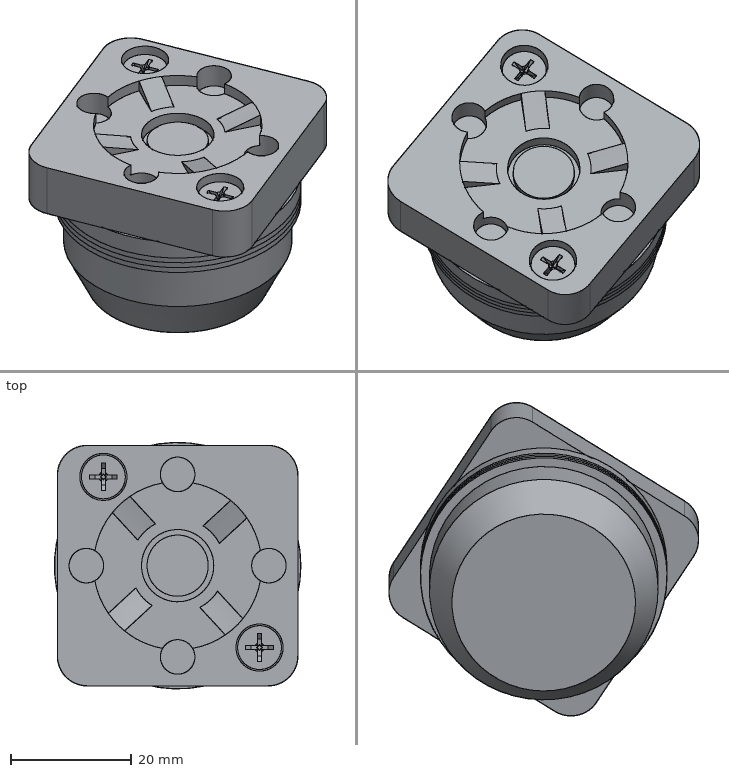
import cadquery as cq
import math

CONE_HEIGHT = 8.05
BARREL_HEIGHT = 8.05
RING_THICKNESS = 1.0
RING_COUNT = 3
COLLAR_HEIGHT = 3.25
HOUSING_HEIGHT = 9.4

CUP_HEIGHT = CONE_HEIGHT + BARREL_HEIGHT
COLLAR_BASE = CUP_HEIGHT + RING_COUNT * RING_THICKNESS
HOUSING_BASE = COLLAR_BASE + COLLAR_HEIGHT
HOUSING_TOP = HOUSING_BASE + HOUSING_HEIGHT

COLLAR_DIAMETER = 41.0
BARREL_DIAMETER = 38.0
CUP_FOOT_DIAMETER = 30.5

HOUSING_SIDE = 40.0
CORNER_RADIUS = 5.0
RECESS_DIAMETER = 27.95
RECESS_DEPTH = 2.0
WELL_DIAMETER = 12.0
WELL_DEPTH = 4.15
SIDE_HOLE_COUNT = 4
SIDE_HOLE_DIAMETER = 5.75
SIDE_HOLE_DEPTH = WELL_DEPTH
SIDE_HOLE_OFFSET = 15.15

RECESS_FLOOR = HOUSING_TOP - RECESS_DEPTH
WELL_FLOOR = HOUSING_TOP - WELL_DEPTH

RAMP_COUNT = 4
RAMP_WIDTH = 3.98
RAMP_INNER_RADIUS = 7.87
RAMP_START_ANGLE = 42.7

BUTTON_DIAMETER = 10.15
BUTTON_HEIGHT = 1.0

SCREW_CENTERS = [(-12.35, 14.75), (13.6, -13.6)]
SCREW_HEAD_DIAMETER = 7.3
SCREW_HEAD_HEIGHT = 2.0
SCREW_SINK = 1.5
SCREW_POCKET_DIAMETER = 7.85

DRIVE_LENGTH = 4.6
DRIVE_WIDTH = 0.65
DRIVE_KNEE_RADIUS = 1.4
DRIVE_KNEE_DEPTH = 1.0
DRIVE_CENTER_DEPTH = 1.3
DRIVE_CORE_TOP_SIDE = 1.5
DRIVE_CORE_BOTTOM_SIDE = 0.6
DRIVE_CORE_ANGLE = 45


def cylinder(diameter, height, base, center=(0, 0)):
    """Upright cylinder standing on the height `base`."""
    return cq.Workplane("XY", origin=(*center, base)).circle(diameter / 2).extrude(height)


def cut_down(diameter, depth, center=(0, 0)):
    """Cutter for a round pocket sunk from the housing top."""
    return cylinder(diameter, depth, HOUSING_TOP - depth, center)


def make_cup():
    """Tapered foot below a straight barrel."""
    profile = [
        (0, 0),
        (CUP_FOOT_DIAMETER / 2, 0),
        (BARREL_DIAMETER / 2, CONE_HEIGHT),
        (BARREL_DIAMETER / 2, CUP_HEIGHT),
        (0, CUP_HEIGHT),
    ]
    return cq.Workplane("XZ").polyline(profile).close().revolve(360, (0, 0), (0, 1))


def make_ring(index):
    """One of the thin discs stacked between the cup and the collar."""
    return cylinder(COLLAR_DIAMETER, RING_THICKNESS, CUP_HEIGHT + index * RING_THICKNESS)


def make_collar():
    return cylinder(COLLAR_DIAMETER, COLLAR_HEIGHT, COLLAR_BASE)


def make_ramps():
    """Radial ribs whose tops lie on one cone that meets the recess floor and rim."""
    rim_radius = RECESS_DIAMETER / 2
    cone_section = [
        (RAMP_INNER_RADIUS, RECESS_FLOOR),
        (rim_radius, RECESS_FLOOR),
        (rim_radius, HOUSING_TOP),
    ]
    cone_ring = cq.Workplane("XZ").polyline(cone_section).close().revolve(360, (0, 0), (0, 1))
    bars = cq.Workplane("XY")
    for index in range(RAMP_COUNT):
        bar = (
            cq.Workplane("XY", origin=(0, 0, RECESS_FLOOR))
            .rect(rim_radius, RAMP_WIDTH)
            .extrude(RECESS_DEPTH)
            .translate((rim_radius / 2, 0, 0))
            .rotate((0, 0, 0), (0, 0, 1), RAMP_START_ANGLE + index * 360 / RAMP_COUNT)
        )
        bars = bars.add(bar)
    return bars.combine().intersect(cone_ring)


def make_housing():
    """Rounded square block with ramped recess, central well, side holes and screw pockets."""
    housing = (
        cq.Workplane("XY", origin=(0, 0, HOUSING_BASE))
        .rect(HOUSING_SIDE, HOUSING_SIDE)
        .extrude(HOUSING_HEIGHT)
        .edges("|Z")
        .fillet(CORNER_RADIUS)
    )
    recess = cut_down(RECESS_DIAMETER, RECESS_DEPTH).cut(make_ramps())
    housing = housing.cut(recess).cut(cut_down(WELL_DIAMETER, WELL_DEPTH))
    for index in range(SIDE_HOLE_COUNT):
        angle = math.radians(index * 360 / SIDE_HOLE_COUNT)
        center = (SIDE_HOLE_OFFSET * math.cos(angle), SIDE_HOLE_OFFSET * math.sin(angle))
        housing = housing.cut(cut_down(SIDE_HOLE_DIAMETER, SIDE_HOLE_DEPTH, center))
    for center in SCREW_CENTERS:
        housing = housing.cut(cut_down(SCREW_POCKET_DIAMETER, SCREW_SINK + SCREW_HEAD_HEIGHT, center))
    return housing


def make_button():
    return cylinder(BUTTON_DIAMETER, BUTTON_HEIGHT, WELL_FLOOR)


def make_screw(center):
    """Screw head with a cross drive whose arms deepen toward a tapered square core."""
    head_top = HOUSING_TOP - SCREW_SINK
    head = cylinder(SCREW_HEAD_DIAMETER, SCREW_HEAD_HEIGHT, head_top - SCREW_HEAD_HEIGHT, center)
    arm_profile = [
        (-DRIVE_LENGTH / 2, 0),
        (-DRIVE_KNEE_RADIUS, -DRIVE_KNEE_DEPTH),
        (0, -DRIVE_CENTER_DEPTH),
        (DRIVE_KNEE_RADIUS, -DRIVE_KNEE_DEPTH),
        (DRIVE_LENGTH / 2, 0),
    ]
    for plane in ("XZ", "YZ"):
        slot = (
            cq.Workplane(plane, origin=(*center, head_top))
            .polyline(arm_profile)
            .close()
            .extrude(DRIVE_WIDTH / 2, both=True)
        )
        head = head.cut(slot)
    core = (
        cq.Workplane("XY", origin=(0, 0, head_top))
        .rect(DRIVE_CORE_TOP_SIDE, DRIVE_CORE_TOP_SIDE)
        .workplane(offset=-DRIVE_CENTER_DEPTH)
        .rect(DRIVE_CORE_BOTTOM_SIDE, DRIVE_CORE_BOTTOM_SIDE)
        .loft()
        .rotate((0, 0, 0), (0, 0, 1), DRIVE_CORE_ANGLE)
        .translate((*center, 0))
    )
    return head.cut(core)


cup = make_cup()
rings = [make_ring(index) for index in range(RING_COUNT)]
collar = make_collar()
housing = make_housing()
button = make_button()
screws = [make_screw(center) for center in SCREW_CENTERS]

result = cq.Compound.makeCompound([
    cup.val(),
    *[ring.val() for ring in rings],
    collar.val(),
    housing.val(),
    button.val(),
    *[screw.val() for screw in screws],
])